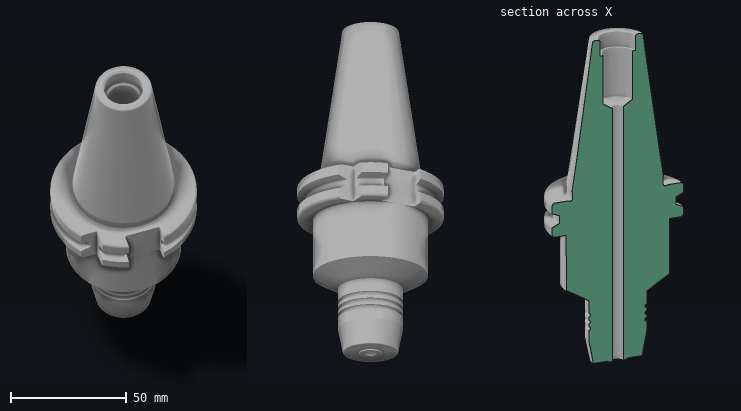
import cadquery as cq
import math

TOTAL_HEIGHT = 148.9
NOSE_END = 0.5
FLANGE_TOP = 77.3
FLANGE_THICKNESS = 16.0
FLANGE_BOTTOM = FLANGE_TOP - FLANGE_THICKNESS

TAPER_BOTTOM = 81.5
TAPER_BOTTOM_RADIUS = 22.2
TAPER_TOP_RADIUS = 12.2
TAPER_TOP_FILLET = 1.2
NECK_TOP = 80.1
NECK_RADIUS = 21.9
NECK_FILLET = 1.2
RELIEF_RADIUS = 24.5
RELIEF_DEPTH = 0.3

FLANGE_DIAMETER = 63.6
FLANGE_RADIUS = FLANGE_DIAMETER / 2
FLANGE_FILLET = 1.5
GROOVE_FLOOR_RADIUS = 28.1
GROOVE_FLOOR_WIDTH = 3.3
GROOVE_MOUTH_WIDTH = 6.3
GROOVE_FILLET = 0.6
GROOVE_CENTER = 69.2

BODY_RADIUS = 25.0
BODY_BOTTOM = 36.0
NOSE_RADIUS = 14.1
NOSE_TOP = 29.8
NOSE_TAPER_START = 11.5
NOSE_END_RADIUS = 11.9
NOSE_END_FILLET = 0.5
TIP_RADIUS = 4.9

RING_GROOVE_CENTERS = (23.1, 20.0, 17.0)
RING_GROOVE_WIDTH = 1.6

SLOT_WIDTH = 16.1
DEEP_SLOT_FLOOR = 22.8
DEEP_SLOT_CORNER = 1.5
SHALLOW_SLOT_FLOOR = BODY_RADIUS
SHALLOW_SLOT_CORNER = 0.7
NOTCH_OFFSET = 18.5

COUNTERBORE_RADIUS = 8.5
COUNTERBORE_DEPTH = 7.5
COUNTERBORE_CHAMFER = 0.7
THREAD_RADIUS = 7.0
THREAD_DEPTH = 29.8
COOLANT_RADIUS = 2.5
DRILL_TIP_ANGLE = 118.0


def cylinder(radius, bottom, top):
    return cq.Workplane("XY").workplane(offset=bottom).circle(radius).extrude(top - bottom)


def revolve_outline(points):
    return cq.Workplane("XZ").polyline(points).close().revolve(360, (0, 0, 0), (0, 1, 0))


def make_shank():
    foot = FLANGE_TOP - RELIEF_DEPTH
    fillet_center_radius = NECK_RADIUS + NECK_FILLET
    fillet_center_height = foot + NECK_FILLET
    arc_offset = NECK_FILLET * math.sqrt(0.5)
    profile = (
        cq.Workplane("XZ")
        .moveTo(0, foot)
        .lineTo(fillet_center_radius, foot)
        .threePointArc(
            (fillet_center_radius - arc_offset, fillet_center_height - arc_offset),
            (NECK_RADIUS, fillet_center_height),
        )
        .lineTo(NECK_RADIUS, NECK_TOP)
        .lineTo(TAPER_BOTTOM_RADIUS, TAPER_BOTTOM)
        .lineTo(TAPER_TOP_RADIUS, TOTAL_HEIGHT)
        .lineTo(0, TOTAL_HEIGHT)
        .close()
    )
    shank = profile.revolve(360, (0, 0, 0), (0, 1, 0))
    return shank.faces(">Z").edges().fillet(TAPER_TOP_FILLET)


def make_neck_relief():
    """Shallow cone that dishes the flange face around the neck."""
    foot = FLANGE_TOP - RELIEF_DEPTH
    return revolve_outline([
        (0, foot),
        (NECK_RADIUS + NECK_FILLET, foot),
        (RELIEF_RADIUS, FLANGE_TOP),
        (0, FLANGE_TOP),
    ])


def make_flange():
    rim = cylinder(FLANGE_RADIUS, FLANGE_BOTTOM, FLANGE_TOP).edges().fillet(FLANGE_FILLET)
    half_floor = GROOVE_FLOOR_WIDTH / 2
    half_mouth = GROOVE_MOUTH_WIDTH / 2
    groove = revolve_outline([
        (GROOVE_FLOOR_RADIUS, GROOVE_CENTER - half_floor),
        (FLANGE_RADIUS, GROOVE_CENTER - half_mouth),
        (FLANGE_RADIUS, GROOVE_CENTER + half_mouth),
        (GROOVE_FLOOR_RADIUS, GROOVE_CENTER + half_floor),
    ])
    floor_corners = groove.edges("%CIRCLE").edges(cq.selectors.RadiusNthSelector(0))
    groove = floor_corners.fillet(GROOVE_FILLET)
    return rim.cut(groove).cut(make_neck_relief())


def make_ring_groove(center):
    """Torus that leaves a half-round groove in the nose."""
    return (
        cq.Workplane("XZ")
        .center(NOSE_RADIUS, center)
        .circle(RING_GROOVE_WIDTH / 2)
        .revolve(360, (-NOSE_RADIUS, 0, 0), (-NOSE_RADIUS, 1, 0))
    )


def make_body():
    outline = [
        (0, NOSE_END),
        (NOSE_END_RADIUS, NOSE_END),
        (NOSE_RADIUS, NOSE_TAPER_START),
        (NOSE_RADIUS, NOSE_TOP),
        (BODY_RADIUS, BODY_BOTTOM),
        (BODY_RADIUS, FLANGE_BOTTOM),
        (0, FLANGE_BOTTOM),
    ]
    body = revolve_outline(outline).faces("<Z").edges().fillet(NOSE_END_FILLET)
    for center in RING_GROOVE_CENTERS:
        body = body.cut(make_ring_groove(center))
    return body.union(cylinder(TIP_RADIUS, 0, NOSE_END))


def make_slot(floor, bottom, corner):
    """Vertical drive slot on the +X side, with rounded corners along its floor."""
    depth = FLANGE_RADIUS - floor
    return (
        cq.Workplane("XY")
        .box(depth, SLOT_WIDTH, FLANGE_TOP - bottom, centered=(False, True, False))
        .edges("|Z and <X")
        .fillet(corner)
        .translate((floor, 0, bottom))
    )


def make_deep_slot():
    """Slot on the -X side, ending in a half circle below the flange."""
    half_width = SLOT_WIDTH / 2
    slot = make_slot(DEEP_SLOT_FLOOR, FLANGE_BOTTOM - half_width, DEEP_SLOT_CORNER)
    rounded_end = (
        cq.Workplane("YZ")
        .moveTo(-half_width, FLANGE_TOP)
        .lineTo(-half_width, FLANGE_BOTTOM)
        .threePointArc((0, FLANGE_BOTTOM - half_width), (half_width, FLANGE_BOTTOM))
        .lineTo(half_width, FLANGE_TOP)
        .close()
        .extrude(FLANGE_RADIUS)
    )
    return slot.intersect(rounded_end).mirror("YZ")


def make_notch():
    side = FLANGE_RADIUS - NOTCH_OFFSET
    return (
        cq.Workplane("XY")
        .box(side, side, FLANGE_THICKNESS, centered=False)
        .translate((NOTCH_OFFSET, -FLANGE_RADIUS, FLANGE_BOTTOM))
    )


def make_bore():
    counterbore_floor = TOTAL_HEIGHT - COUNTERBORE_DEPTH
    thread_bottom = TOTAL_HEIGHT - THREAD_DEPTH
    tip_height = (THREAD_RADIUS - COOLANT_RADIUS) / math.tan(math.radians(DRILL_TIP_ANGLE / 2))
    return revolve_outline([
        (0, 0),
        (COOLANT_RADIUS, 0),
        (COOLANT_RADIUS, thread_bottom - tip_height),
        (THREAD_RADIUS, thread_bottom),
        (THREAD_RADIUS, counterbore_floor),
        (COUNTERBORE_RADIUS, counterbore_floor),
        (COUNTERBORE_RADIUS, TOTAL_HEIGHT - COUNTERBORE_CHAMFER),
        (COUNTERBORE_RADIUS + COUNTERBORE_CHAMFER, TOTAL_HEIGHT),
        (0, TOTAL_HEIGHT),
    ])


result = (
    make_body()
    .union(make_flange())
    .union(make_shank())
    .cut(make_slot(SHALLOW_SLOT_FLOOR, FLANGE_BOTTOM, SHALLOW_SLOT_CORNER))
    .cut(make_deep_slot())
    .cut(make_notch())
    .cut(make_bore())
)